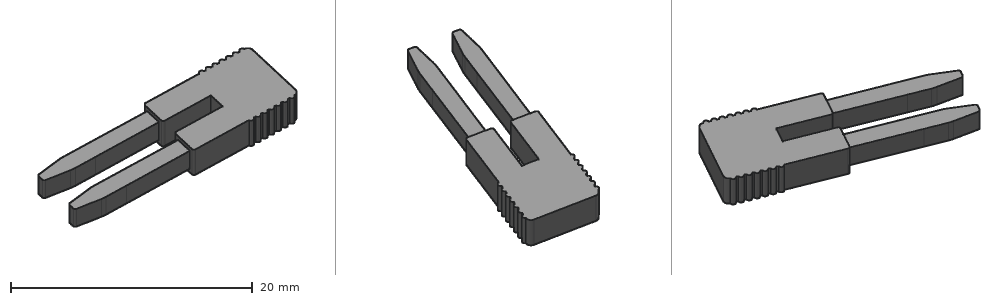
import cadquery as cq

total_length = 22.7
back_y = total_length / 2
front_y = -total_length / 2

body_width = 6.79
body_length = 10.99
body_thickness = 3.0
back_corner_radius = 0.48
front_corner_radius = 0.2
body_front_y = back_y - body_length

slot_width = 1.6
slot_depth = 5.02

ridge_count = 7
ridge_pitch = 0.7
ridge_width = 0.5
ridge_height = 0.2
first_ridge_offset = 0.73

pin_spacing = 4.2
pin_root_width = 1.61
pin_width = 1.63
pin_thickness = 2.1
pin_tip_width = 0.82
pin_taper_length = 2.72
pin_full_width_length = 5.08
pin_shoulder_radius = 3.18
pin_tip_radius = 0.2


def plate(sketch, thickness):
    """Extrude a flat outline symmetrically about the XY plane."""
    return sketch.extrude(thickness / 2, both=True)


def make_body():
    block = plate(
        cq.Workplane("XY")
        .center(0, back_y - body_length / 2)
        .rect(body_width, body_length),
        body_thickness,
    )
    block = block.edges("|Z and >Y").fillet(back_corner_radius)
    slot = plate(
        cq.Workplane("XY")
        .center(0, body_front_y + slot_depth / 2)
        .rect(slot_width, slot_depth),
        body_thickness,
    )
    return block.cut(slot).edges("|Z and <Y").fillet(front_corner_radius)


def make_ridge(side, y):
    """Rounded rib on the side face; side is +1 or -1."""
    face_x = side * body_width / 2
    root_x = face_x - side * ridge_height
    crest_x = face_x + side * ridge_height
    outline = (
        cq.Workplane("XY")
        .moveTo(root_x, y - ridge_width / 2)
        .lineTo(face_x, y - ridge_width / 2)
        .threePointArc((crest_x, y), (face_x, y + ridge_width / 2))
        .lineTo(root_x, y + ridge_width / 2)
        .close()
    )
    return plate(outline, body_thickness)


def make_pin(x):
    """Blade widening slightly from its root, then tapering to a rounded tip."""
    half_width = pin_width / 2
    half_root = pin_root_width / 2
    half_tip = pin_tip_width / 2
    full_width_y = front_y + pin_full_width_length
    shoulder_y = front_y + pin_taper_length
    outline = cq.Workplane("XY").polyline([
        (x - half_root, body_front_y),
        (x - half_width, full_width_y),
        (x - half_width, shoulder_y),
        (x - half_tip, front_y),
        (x + half_tip, front_y),
        (x + half_width, shoulder_y),
        (x + half_width, full_width_y),
        (x + half_root, body_front_y),
    ]).close()
    pin = plate(outline, pin_thickness)
    pin = pin.edges("|Z and <Y").fillet(pin_tip_radius)
    shoulder_margin = 0.23
    shoulders = cq.selectors.BoxSelector(
        (x - pin_width, shoulder_y - shoulder_margin, -pin_thickness),
        (x + pin_width, shoulder_y + shoulder_margin, pin_thickness),
    )
    return pin.edges("|Z").edges(shoulders).fillet(pin_shoulder_radius)


result = make_body()
for side in (-1, 1):
    for index in range(ridge_count):
        ridge_y = back_y - first_ridge_offset - index * ridge_pitch
        result = result.union(make_ridge(side, ridge_y))
    result = result.union(make_pin(side * pin_spacing / 2))